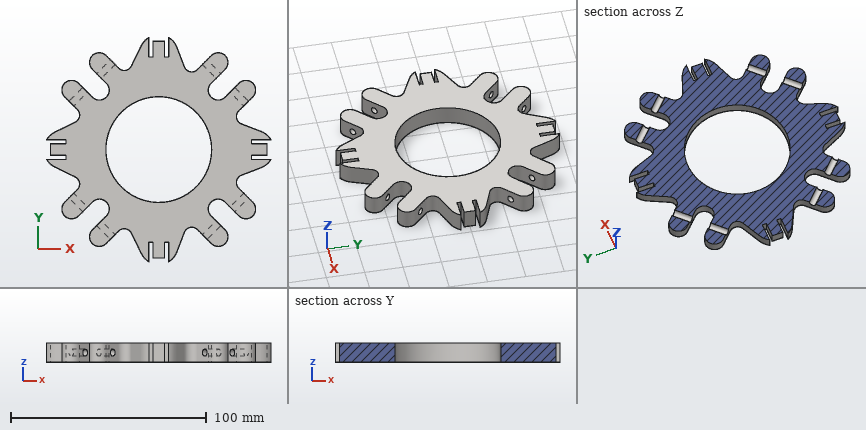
import cadquery as cq
import math

half_span = 57.4
thickness = 10.0
bore_radius = 27.0

finger_width = 10.0
finger_radius = finger_width / 2
slot_half_width = finger_width / 2
finger_tip_centre = 53.0
slot_root_centre = 43.0
finger_inner_edge = slot_half_width
finger_outer_edge = slot_half_width + finger_width

pin_diameter = 3.5
pin_distance = 48.2
pin_reach = finger_outer_edge + finger_radius

tooth_gap = 10.0
tooth_slit_outer = tooth_gap / 2
tab_half_width = 3.0
tab_setback = 2.0
slit_depth = 10.0
tab_end = half_span - tab_setback
slit_floor = half_span - slit_depth

root_fillet = 4.0
left_shoulder = (9.1, 52.9)
left_flank_angle = 26.0
right_shoulder = (9.3, 52.4)
right_flank_angle = 21.0


def on_diagonal(along, across):
    """Point given by its distance along the 45 degree diagonal and its offset towards +Y."""
    return ((along - across) / math.sqrt(2), (along + across) / math.sqrt(2))


def root_fillet_along(shoulder, normal):
    """Distance along the diagonal of the fillet centre touching both finger edge and tooth flank."""
    unit_along = on_diagonal(1, 0)
    unit_across = on_diagonal(0, 1)
    across = finger_outer_edge + root_fillet
    flank_offset = shoulder[0] * normal[0] + shoulder[1] * normal[1]
    across_part = across * (unit_across[0] * normal[0] + unit_across[1] * normal[1])
    along_part = unit_along[0] * normal[0] + unit_along[1] * normal[1]
    return (root_fillet + flank_offset - across_part) / along_part


def octant(shoulder, flank_angle):
    """Wedge from the diagonal to +Y: half a slot, one finger and half a tooth."""
    angle = math.radians(flank_angle)
    normal = (math.cos(angle), math.sin(angle))
    fillet_along = root_fillet_along(shoulder, normal)
    fillet_centre = on_diagonal(fillet_along, finger_outer_edge + root_fillet)
    flank_start = (
        fillet_centre[0] - root_fillet * normal[0],
        fillet_centre[1] - root_fillet * normal[1],
    )
    slot_mid = slot_half_width / math.sqrt(2)
    return (
        cq.Workplane("XY")
        .moveTo(0, 0)
        .lineTo(*on_diagonal(slot_root_centre - slot_half_width, 0))
        .threePointArc(
            on_diagonal(slot_root_centre - slot_mid, slot_mid),
            on_diagonal(slot_root_centre, finger_inner_edge),
        )
        .lineTo(*on_diagonal(finger_tip_centre, finger_inner_edge))
        .threePointArc(
            on_diagonal(finger_tip_centre + finger_radius, finger_inner_edge + finger_radius),
            on_diagonal(finger_tip_centre, finger_outer_edge),
        )
        .lineTo(*on_diagonal(fillet_along, finger_outer_edge))
        .tangentArcPoint(flank_start, relative=False)
        .lineTo(*shoulder)
        .tangentArcPoint((tooth_slit_outer, half_span), relative=False)
        .lineTo(tooth_slit_outer, slit_floor)
        .lineTo(tab_half_width, slit_floor)
        .lineTo(tab_half_width, tab_end)
        .lineTo(0, tab_end)
        .close()
        .extrude(thickness)
    )


def half_plate(shoulder, flank_angle):
    """The +X half of the plate: an octant mirrored over the diagonal, then over the X axis."""
    wedge = octant(shoulder, flank_angle)
    quadrant = wedge.union(wedge.mirror(cq.Vector(1, -1, 0)))
    return quadrant.union(quadrant.mirror("XZ"))


def pin_hole(diagonal_angle):
    """Cylinder crossing both fingers of one pair at mid thickness."""
    return (
        cq.Workplane("XZ")
        .center(pin_distance, thickness / 2)
        .circle(pin_diameter / 2)
        .extrude(pin_reach, both=True)
        .rotate((0, 0, 0), (0, 0, 1), diagonal_angle)
    )


right_half = half_plate(right_shoulder, right_flank_angle)
left_half = half_plate(left_shoulder, left_flank_angle).mirror("YZ")
result = right_half.union(left_half).clean()

bore = cq.Workplane("XY").circle(bore_radius).extrude(thickness)
result = result.cut(bore)

for diagonal_angle in (45, 135, 225, 315):
    result = result.cut(pin_hole(diagonal_angle))